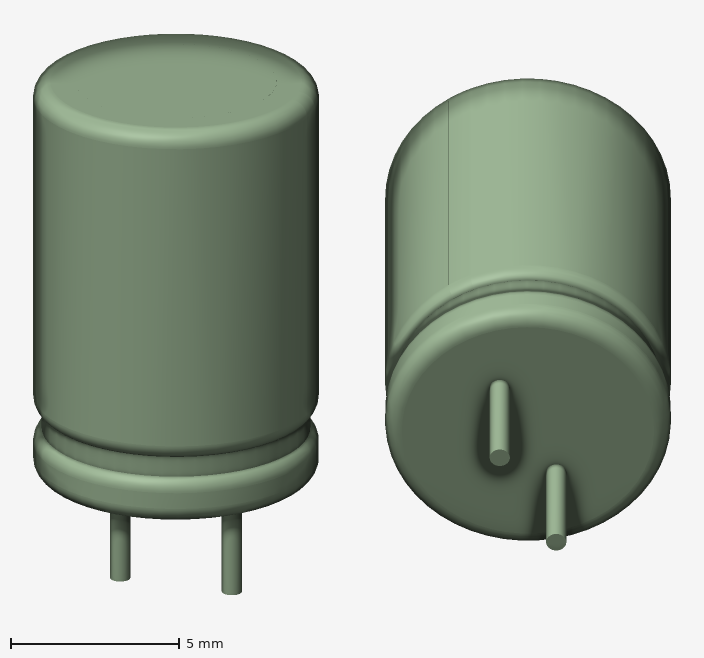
import cadquery as cq
import math


body_radius = 8.5 / 2
total_height = 12.5
edge_radius = 0.5
base_height = 1.5
groove_gap = 0.5
can_bottom = base_height + groove_gap

neck_radius = 4.0
rounding_center_radius = body_radius - edge_radius
neck_seat_depth = edge_radius - math.sqrt(edge_radius**2 - (neck_radius - rounding_center_radius) ** 2)
neck_bottom = base_height - neck_seat_depth
neck_top = can_bottom + neck_seat_depth

disc_radius = 3.0
disc_thickness = 0.5

strip_angle = 10.0

lead_diameter = 0.6
lead_pitch = 3.5
lead_length = 3.6


def make_cylinder(radius, bottom, top):
    return cq.Workplane("XY").workplane(offset=bottom).circle(radius).extrude(top - bottom)


def make_rounded_cylinder(bottom, top):
    """Full-radius cylinder with both rims rounded."""
    return make_cylinder(body_radius, bottom, top).edges("%CIRCLE").fillet(edge_radius)


def make_strip_sector():
    """Sector from the disc radius to past the can wall, over the can height and centred on +X."""
    half_angle = math.radians(strip_angle / 2)
    sector_reach = 2 * body_radius
    far_x = sector_reach * math.cos(half_angle)
    far_y = sector_reach * math.sin(half_angle)
    wedge = (
        cq.Workplane("XY")
        .workplane(offset=can_bottom)
        .polyline([(0, 0), (far_x, -far_y), (far_x, far_y)])
        .close()
        .extrude(total_height - can_bottom)
    )
    return wedge.cut(make_cylinder(disc_radius, can_bottom, total_height))


def make_lead(x):
    return make_cylinder(lead_diameter / 2, -lead_length, 0).translate((x, 0, 0))


neck = make_cylinder(neck_radius, neck_bottom, neck_top)
vent_disc = make_cylinder(disc_radius, total_height - disc_thickness, total_height)

base = make_rounded_cylinder(0, base_height).cut(neck)
can_blank = make_rounded_cylinder(can_bottom, total_height).cut(neck)

strip_sector = make_strip_sector()
polarity_strip = can_blank.intersect(strip_sector)
can = can_blank.cut(strip_sector).cut(vent_disc)

leads = [make_lead(side * lead_pitch / 2) for side in (-1, 1)]

result = cq.Compound.makeCompound(
    [
        can.solids().val(),
        polarity_strip.solids().val(),
        vent_disc.solids().val(),
        neck.solids().val(),
        base.solids().val(),
        *[lead.val() for lead in leads],
    ]
)